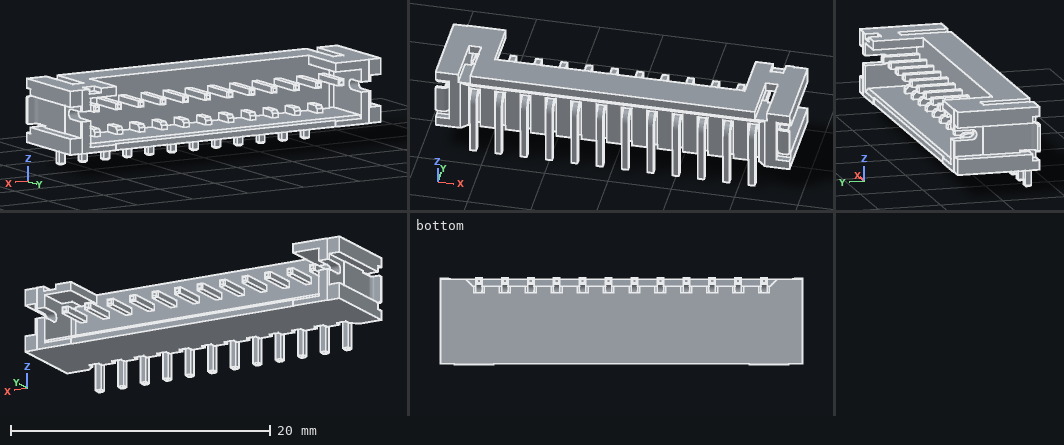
import cadquery as cq

length = 27.95
depth = 6.6
height = 5.0
half_length = length / 2
wall = 0.7
front_setback = 0.05

block_depth = 2.63
cavity_half = half_length - 1.8
relief_width = 0.48
relief_depth = 0.17
window_half = half_length - 4.1
lead_in = 0.2

pin_count = 12
pin_span = 22.0
pitch = pin_span / (pin_count - 1)
pin_size = 0.5
pin_proud = 0.1
pin_drop = 1.98
pin_top = height - 1.55
pin_end = depth - 0.98
bend_radius = 1.03
tip_chamfer = 0.1

recess_half = half_length - 1.95
recess_top = height - 0.75
recess_depth = 0.53
groove_width = 0.85
groove_depth = 1.05

rib_width = 0.5
rib_end = depth - 2.57
rib_height = 0.55
rib_chamfer = 0.22

top_slot_inset = 1.8
top_slot_width = 0.95
top_slot_length = 3.97
key_inset = 1.7
key_width = 1.03
key_length = 1.0
key_depth = 0.35

flange = 1.05
channel_half_height = height / 2 - 1.25
front_floor = 0.92
rear_floor = 0.87
rear_floor_end = depth - 2.32
pocket_half_height = height / 2 - 0.75
pocket_depth = 0.53
tab_height = 2.18
tab_proud = 0.05
tab_length = 1.3
tab_thickness = flange - rear_floor
tab_radius = 0.5
tab_chamfer = 0.1
end_slot_width = 0.78
end_slot_length = 1.82
end_slot_z = height - 2.1

overlap = 0.28
pin_positions = [i * pitch - pin_span / 2 for i in range(pin_count)]
rib_positions = [x + pitch / 2 for x in pin_positions[:-1]]


def block(x0, x1, y0, y1, z0, z1):
    """Box between two opposite corners."""
    return cq.Workplane("XY").box(x1 - x0, y1 - y0, z1 - z0, centered=False).translate((x0, y0, z0))


def both_ends(shape):
    """A shape at the -X end joined with its mirror image at the +X end."""
    return shape.union(shape.mirror("YZ"))


def rear_recess():
    """Sloped recess behind the block, open at the underside."""
    top = (
        cq.Workplane("YZ")
        .polyline([(0, -overlap), (recess_depth, -overlap),
                   (recess_depth, recess_top - recess_depth), (0, recess_top)])
        .close()
        .extrude(recess_half, both=True)
    )
    sides = (
        cq.Workplane("XY")
        .polyline([(-recess_half, 0), (recess_half, 0),
                   (recess_half - recess_depth, recess_depth),
                   (-recess_half + recess_depth, recess_depth)])
        .close()
        .extrude(height)
        .translate((0, 0, -overlap))
    )
    return top.intersect(sides)


def end_channel():
    """Channel, rear pocket and rounded slot at the -X end."""
    mid = height / 2
    low, high = mid - channel_half_height, mid + channel_half_height
    end = -half_length
    front = block(end, end + front_floor, rear_floor_end, depth, low, high)
    rear = block(end, end + rear_floor, 0, rear_floor_end, low, high)
    pocket = block(end, end + flange, 0, pocket_depth, mid - pocket_half_height, mid + pocket_half_height)
    leg_slot = block(end, end + flange, 0, tab_length, low, high)
    setback = block(end, end + flange, depth - front_setback, depth, 0, height)
    radius = end_slot_width / 2
    slot = block(end, -cavity_half, depth - end_slot_length + radius, depth,
                 end_slot_z - radius, end_slot_z + radius)
    slot_end = (
        cq.Workplane("YZ", origin=(end, depth - end_slot_length + radius, end_slot_z))
        .circle(radius)
        .extrude(half_length - cavity_half)
    )
    return front.union(rear).union(pocket).union(leg_slot).union(setback).union(slot).union(slot_end)


def housing():
    body = block(-half_length, half_length, 0, depth, 0, height)

    body = body.cut(block(-cavity_half, cavity_half, block_depth, depth, wall, height - wall))
    body = body.cut(both_ends(block(-cavity_half, -cavity_half + relief_width,
                                    block_depth - relief_depth, block_depth, wall, height - wall)))
    body = body.cut(block(-window_half, window_half, block_depth, depth, wall, height))
    lower_front = depth - front_setback
    body = body.cut(block(-window_half, window_half, lower_front, depth, 0, wall))
    lead = (
        cq.Workplane("YZ")
        .polyline([(lower_front - lead_in, wall), (depth, wall),
                   (depth, wall - lead_in - front_setback)])
        .close()
        .extrude(cavity_half, both=True)
    )
    body = body.cut(lead)

    body = body.cut(rear_recess())
    for x in pin_positions:
        body = body.cut(block(x - groove_width / 2, x + groove_width / 2, 0, groove_depth, 0, pin_top))

    slot_start = -half_length + top_slot_inset
    body = body.cut(both_ends(block(slot_start, slot_start + top_slot_width,
                                    0, top_slot_length, height - wall, height)))
    key_end = half_length - key_inset
    body = body.cut(block(key_end - key_width, key_end, depth - key_length, depth,
                          height - key_depth, height))
    return body.cut(both_ends(end_channel()))


def rib(x):
    """Chamfered rib on the lower wall, standing against the block."""
    shape = block(x - rib_width / 2, x + rib_width / 2, block_depth, rib_end, wall, wall + rib_height)
    return shape.edges(">Y and >Z").chamfer(rib_chamfer)


def pin(x):
    """Square pin bent down behind the housing, with chamfered tips."""
    rear = -pin_proud
    shape = (
        cq.Workplane("YZ")
        .polyline([(rear, -pin_drop), (rear, pin_top), (pin_end, pin_top),
                   (pin_end, pin_top - pin_size), (rear + pin_size, pin_top - pin_size),
                   (rear + pin_size, -pin_drop)])
        .close()
        .extrude(pin_size / 2, both=True)
    )
    shape = shape.faces(">Y or <Z").chamfer(tip_chamfer)
    bend_y = rear + bend_radius
    bend_z = pin_top - bend_radius
    corner = block(-pin_size, pin_size, rear, bend_y, bend_z, pin_top)
    inner_radius = bend_radius - pin_size
    bend = (
        cq.Workplane("YZ", origin=(0, bend_y, bend_z))
        .circle(bend_radius)
        .circle(inner_radius)
        .extrude(pin_size / 2, both=True)
        .intersect(corner)
    )
    return shape.cut(corner).union(bend).translate((x, 0, 0))


def retaining_tab():
    """Bent plate in the -X channel: a leg along the floor and a flange turned outward."""
    outer = -half_length
    floor = outer + flange
    rear = -tab_proud
    inner_radius = tab_radius - tab_thickness
    diagonal = 0.5 ** 0.5
    centre_x = floor - tab_radius
    centre_y = rear + tab_radius
    tab = (
        cq.Workplane("XY", origin=(0, 0, (height - tab_height) / 2))
        .moveTo(outer, rear)
        .lineTo(centre_x, rear)
        .threePointArc((centre_x + tab_radius * diagonal, centre_y - tab_radius * diagonal),
                       (floor, centre_y))
        .lineTo(floor, tab_length)
        .lineTo(floor - tab_thickness, tab_length)
        .lineTo(floor - tab_thickness, centre_y)
        .threePointArc((centre_x + inner_radius * diagonal, centre_y - inner_radius * diagonal),
                       (centre_x, rear + tab_thickness))
        .lineTo(outer, rear + tab_thickness)
        .close()
        .extrude(tab_height)
    )
    return tab.edges("|Y and <X").chamfer(tab_chamfer)


result = housing().union(both_ends(retaining_tab()))
for x in rib_positions:
    result = result.union(rib(x))
for x in pin_positions:
    result = result.union(pin(x))